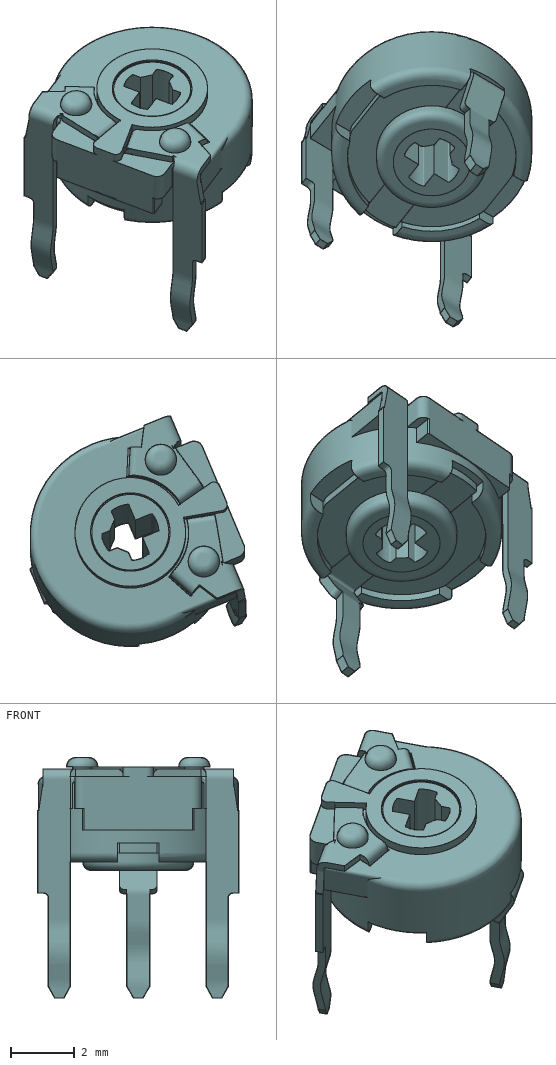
import cadquery as cq
import math


FEET_Z = 4.295
BOSS_Z = 4.035
STRIP_Z = 4.58
NOTCH_Z = 4.9
LABEL_Z = 5.31
BLOCK_Z = 6.0
DECK_Z = 7.0
COLLAR_Z = 7.3
TOP_Z = 7.6

BODY_R = 3.16
DECK_EDGE = 0.25
FEET_EDGE = 0.29
CORE_R = 2.66
CORE_HALF_X = 2.55
BOSS_R = 1.75
BOSS_EDGE = 0.25
FRONT_NOTCH_W = 1.3
SIDE_NOTCH_W = 1.9
BLOCK_W = 6.02
BLOCK_FRONT_Y = -2.39
BLOCK_EDGE = 0.1
NOSE_W = 4.0
NOSE_FRONT_Y = -3.18
NOSE_CORNER = 0.29
NOSE_ROOT = 0.09
LABEL_W = 3.51
LABEL_CHAMFER = 0.04
RIB_BACK_HALF_W = 0.205
RIB_FRONT_HALF_W = 0.53
RIB_BACK_Y = -1.71
RIB_CORNER = 0.2
RIVET_X = 1.77
RIVET_Y = -1.78
RIVET_R = 0.495
RIVET_SHANK_R = 0.305
RIVET_FLAT_R = 0.205

ROTOR_R = 1.215
RECESS_R = 1.255
RECESS_DEPTH = 0.06
CROSS_R = 0.905
CROSS_HALF_W = 0.3
CROSS_EDGE = 0.04
ARROW_LEG = 0.28

JOG_R = 1.475
JOG_CREST_Z = 1.41
TIP_H = 0.37
TIP_HALF_W = 0.145

SHEET = 0.24
LEG_Y = BLOCK_FRONT_Y - SHEET / 2
LEG_OUTER_X = 2.84
LEG_INNER_X = 2.14
WIDE_OUTER_X = 3.18
WIDE_FOOT_Z = 3.31
WIDE_TOP_Z = 5.93
WIDE_ROOT_R = 0.145
TAPER_TOP_X = 3.14
TAPER_TOP_Z = 6.79
BRIDGE_INNER_X = 1.975
BRIDGE_ROOT_R = 0.175
END_JOG_REACH = 0.2
END_JOG_TOP_Z = 2.295
END_JOG_FOOT_Z = 0.45
TAB_R = 1.84
TAB_ARC_START = 199.0
TAB_ARC_END = 263.0
TAB_SHOULDER_Y = -1.72
TAB_NECK = (-2.395, -1.37)
TAB_SIDE_CORNER = (-2.58, -0.995)
TAB_RIB_CORNER = (-0.43, -2.7)
TAB_FRONT_CORNER = (-0.68, -2.65)
TAB_BRIDGE_Y = -2.35
LIP_R = 0.23
LIP_DEPTH = 0.15
LIP_GAPS = (0.06, 0.03)

WIPER_T = NOTCH_Z - STRIP_Z
WIPER_W = 1.185
WIPER_PIN_W = 0.73
WIPER_PIN_Y = 2.49
WIPER_KNEE_Y = 3.16
WIPER_KNEE_R = 0.235
WIPER_ANKLE_Z = 3.32
WIPER_ANKLE_R = 0.21
WIPER_SHOULDER_R = 0.145
WIPER_JOG_REACH = 0.18
WIPER_JOG_TOP_Z = 2.265
WIPER_JOG_FOOT_Z = 0.46
EYE_R = 1.52
WIPER_FRONT_R = 2.925


def box(x0, x1, y0, y1, z0, z1):
    """Box between two opposite corners."""
    size = (x1 - x0, y1 - y0, z1 - z0)
    return cq.Workplane("XY").box(*size, centered=False).translate((x0, y0, z0))


def disc(radius, z0, z1, x=0, y=0):
    """Upright cylinder between two heights."""
    return cq.Workplane("XY", origin=(x, y, z0)).circle(radius).extrude(z1 - z0)


def bent_strip(path, bend_radii, thickness, x0, x1):
    """Sheet strip from x0 to x1 whose centre line follows a (y, z) path with rounded corners."""

    def direction(a, b):
        length = math.dist(a, b)
        return ((b[0] - a[0]) / length, (b[1] - a[1]) / length)

    def shifted(point, along, distance):
        return (point[0] + along[0] * distance, point[1] + along[1] * distance)

    def side(offset):
        """Start, bends as (entry, middle, exit) and end of the face at this offset."""
        first = direction(path[0], path[1])
        last = direction(path[-2], path[-1])
        start = shifted(path[0], (-first[1], first[0]), offset)
        end = shifted(path[-1], (-last[1], last[0]), offset)
        bends = []
        for before, corner, after, radius in zip(path, path[1:], path[2:], bend_radii):
            d_in = direction(before, corner)
            d_out = direction(corner, after)
            cross = d_in[0] * d_out[1] - d_in[1] * d_out[0]
            dot = d_in[0] * d_out[0] + d_in[1] * d_out[1]
            turn = math.atan2(cross, dot)
            setback = radius * math.tan(abs(turn) / 2)
            sign = math.copysign(1, turn)
            tangent = shifted(corner, d_in, -setback)
            centre = shifted(tangent, (-d_in[1], d_in[0]), sign * radius)
            reach = radius - sign * offset
            entry_angle = math.atan2(-sign * d_in[0], sign * d_in[1])
            angles = (entry_angle, entry_angle + turn / 2, entry_angle + turn)
            bends.append([shifted(centre, (math.cos(a), math.sin(a)), reach) for a in angles])
        return start, bends, end

    near_start, near_bends, near_end = side(thickness / 2)
    far_start, far_bends, far_end = side(-thickness / 2)
    outline = cq.Workplane("YZ", origin=(x0, 0, 0)).moveTo(*near_start)
    for entry, middle, leave in near_bends:
        outline = outline.lineTo(*entry).threePointArc(middle, leave)
    outline = outline.lineTo(*near_end).lineTo(*far_end)
    for entry, middle, leave in reversed(far_bends):
        outline = outline.lineTo(*leave).threePointArc(middle, entry)
    return outline.lineTo(*far_start).close().extrude(x1 - x0)



def on_tab_arc(degrees):
    """Point on the arc of the left tab around the collar."""
    angle = math.radians(degrees)
    return (TAB_R * math.cos(angle), TAB_R * math.sin(angle))


SIDE_END = (on_tab_arc(TAB_ARC_START), TAB_SIDE_CORNER)
RIB_END = (TAB_RIB_CORNER, on_tab_arc(TAB_ARC_END))
TAB_ENDS = (SIDE_END, RIB_END)


def tab_slab(z0, z1):
    """Outline of the left tab between two heights."""
    bend_y = BLOCK_FRONT_Y + BLOCK_EDGE
    return (
        cq.Workplane("XY", origin=(0, 0, z0))
        .moveTo(-BLOCK_W / 2, bend_y)
        .lineTo(-BLOCK_W / 2, TAB_SHOULDER_Y)
        .lineTo(*TAB_NECK)
        .lineTo(*SIDE_END[1])
        .lineTo(*SIDE_END[0])
        .threePointArc(on_tab_arc((TAB_ARC_START + TAB_ARC_END) / 2), RIB_END[1])
        .lineTo(*RIB_END[0])
        .lineTo(*TAB_FRONT_CORNER)
        .lineTo(-BRIDGE_INNER_X, TAB_BRIDGE_Y)
        .lineTo(-BRIDGE_INNER_X, bend_y)
        .close()
        .extrude(z1 - z0)
    )


def inward(end, distance):
    """The line of a tab end, moved into the tab."""
    (x0, y0), (x1, y1) = end
    length = math.dist(*end)
    shift_x = -(y1 - y0) / length * distance
    shift_y = (x1 - x0) / length * distance
    return [(x0 + shift_x, y0 + shift_y), (x1 + shift_x, y1 + shift_y)]


def end_band(end, near, far, z0, z1):
    """Part of the tab outline that lies between two distances from one of its ends."""
    corners = inward(end, near) + inward(end, far)[::-1]
    band = cq.Workplane("XY", origin=(0, 0, z0)).polyline(corners).close().extrude(z1 - z0)
    return band.intersect(tab_slab(z0, z1))



def wiper_plate():
    """Strip under the housing with a rounded front end, widened to an eye around the rotor."""
    strip = box(-WIPER_W / 2, WIPER_W / 2, -WIPER_FRONT_R, CORE_R, STRIP_Z, NOTCH_Z)
    strip = strip.intersect(disc(WIPER_FRONT_R, STRIP_Z, NOTCH_Z))
    return strip.union(disc(EYE_R, STRIP_Z, NOTCH_Z))



def rib():
    """Raised rib from the collar to the front face, widening to rounded front corners."""
    return (
        cq.Workplane("XY", origin=(0, 0, DECK_Z))
        .polyline([
            (RIB_BACK_HALF_W, RIB_BACK_Y),
            (RIB_FRONT_HALF_W, NOSE_FRONT_Y),
            (-RIB_FRONT_HALF_W, NOSE_FRONT_Y),
            (-RIB_BACK_HALF_W, RIB_BACK_Y),
        ])
        .close()
        .extrude(COLLAR_Z - DECK_Z)
        .edges("|Z and <Y")
        .fillet(RIB_CORNER)
    )


def rivet(x):
    """Rivet that holds an end terminal: shank with a domed head."""
    dome = RIVET_R - RIVET_FLAT_R
    head = disc(RIVET_R, COLLAR_Z, TOP_Z, x, RIVET_Y).faces(">Z").edges().fillet(dome)
    return disc(RIVET_SHANK_R, DECK_Z, COLLAR_Z, x, RIVET_Y).union(head)


def terminal_block():
    """Block with the nose and label plate at the front of the housing."""
    half_block = BLOCK_W / 2
    half_nose = NOSE_W / 2
    half_label = LABEL_W / 2
    block = box(-half_block, half_block, BLOCK_FRONT_Y, 0, BLOCK_Z, DECK_Z)
    block = block.faces(">Z").edges("|Y or <Y").fillet(BLOCK_EDGE)
    nose = box(-half_nose, half_nose, NOSE_FRONT_Y, -BOSS_R, BLOCK_Z, DECK_Z)
    nose = nose.edges("|Z and <Y").fillet(NOSE_CORNER)
    label = box(-half_label, half_label, NOSE_FRONT_Y, -BOSS_R, LABEL_Z, BLOCK_Z)
    label = label.edges("|Z and <Y").chamfer(LABEL_CHAMFER)
    front = block.union(nose)
    middle_z = (BLOCK_Z + DECK_Z) / 2
    for x in (-half_nose, half_nose):
        root = cq.selectors.NearestToPointSelector((x, BLOCK_FRONT_Y, middle_z))
        front = front.edges("|Z").edges(root).fillet(NOSE_ROOT)
    return front.union(label)


def feet_notches():
    """Four notches between the feet, cut in to the core."""
    reach = 2 * BODY_R
    across_x = box(-reach, reach, -SIDE_NOTCH_W / 2, SIDE_NOTCH_W / 2, FEET_Z, NOTCH_Z)
    across_y = box(-FRONT_NOTCH_W / 2, FRONT_NOTCH_W / 2, -reach, reach, FEET_Z, NOTCH_Z)
    core = disc(CORE_R, FEET_Z, NOTCH_Z)
    core = core.intersect(box(-CORE_HALF_X, CORE_HALF_X, -reach, reach, FEET_Z, NOTCH_Z))
    return across_x.union(across_y).cut(core)


def lip_slots():
    """Slots in the deck for the lips of both end terminals."""
    slots = cq.Workplane("XY")
    for end, gap in zip(TAB_ENDS, LIP_GAPS):
        slot = end_band(end, 0, gap + SHEET, DECK_Z - LIP_DEPTH, DECK_Z)
        slots = slots.add(slot).add(slot.mirror("YZ"))
    return slots.combine()


def make_housing():
    body = disc(BODY_R, FEET_Z, DECK_Z)
    body = body.faces(">Z").edges().fillet(DECK_EDGE)
    body = body.faces("<Z").edges().fillet(FEET_EDGE)
    groove = disc(CORE_R, FEET_Z, STRIP_Z)
    boss = disc(BOSS_R, BOSS_Z, STRIP_Z).faces("<Z").edges().fillet(BOSS_EDGE)
    collar = disc(BOSS_R, DECK_Z, COLLAR_Z)
    body = body.union(terminal_block()).cut(groove).cut(feet_notches())
    body = body.union(boss).union(collar).union(rib())
    body = body.cut(lip_slots())
    for x in (-RIVET_X, RIVET_X):
        body = body.union(rivet(x))
    bore = disc(ROTOR_R, BOSS_Z, COLLAR_Z)
    recess = disc(RECESS_R, COLLAR_Z - RECESS_DEPTH, COLLAR_Z)
    return body.cut(wiper_plate()).cut(bore).cut(recess)



def arrow_cross(z0, z1):
    """Cross-shaped screwdriver slot whose +Y arm is an arrow."""
    arm_x = box(-CROSS_R, CROSS_R, -CROSS_HALF_W, CROSS_HALF_W, z0, z1)
    arm_y = box(-CROSS_HALF_W, CROSS_HALF_W, -CROSS_R, CROSS_R, z0, z1)
    round_end = disc(CROSS_R, z0, z1)
    arm_x = arm_x.intersect(round_end).edges("|Z").fillet(CROSS_EDGE)
    arm_y = arm_y.intersect(round_end).edges("|Z").fillet(CROSS_EDGE)
    arrow_half_w = CROSS_HALF_W + ARROW_LEG
    arrow = (
        cq.Workplane("XY", origin=(0, 0, z0))
        .polyline([
            (-arrow_half_w, CROSS_HALF_W),
            (arrow_half_w, CROSS_HALF_W),
            (CROSS_HALF_W, arrow_half_w),
            (-CROSS_HALF_W, arrow_half_w),
        ])
        .close()
        .extrude(z1 - z0)
    )
    return arm_x.union(arm_y).union(arrow)


def make_rotor():
    rotor_top = COLLAR_Z - RECESS_DEPTH
    return disc(ROTOR_R, BOSS_Z, rotor_top).cut(arrow_cross(BOSS_Z, rotor_top))



def terminal_leg():
    """Bent leg of the left terminal, trimmed to its front outline."""
    strip_z = DECK_Z + SHEET / 2
    path = [
        (BLOCK_FRONT_Y + SHEET, strip_z),
        (LEG_Y, strip_z),
        (LEG_Y, END_JOG_TOP_Z),
        (LEG_Y - END_JOG_REACH, JOG_CREST_Z),
        (LEG_Y, END_JOG_FOOT_Z),
        (LEG_Y, 0),
    ]
    bends = [BLOCK_EDGE + SHEET / 2, JOG_R, JOG_R, JOG_R]
    strip = bent_strip(path, bends, SHEET, -WIDE_OUTER_X, -BRIDGE_INNER_X)
    top = DECK_Z + SHEET
    middle_x = (LEG_OUTER_X + LEG_INNER_X) / 2
    diagonal = math.sqrt(0.5)
    root_x = LEG_OUTER_X + WIDE_ROOT_R
    root_z = WIDE_FOOT_Z - WIDE_ROOT_R
    outline = (
        cq.Workplane("XZ")
        .moveTo(-BLOCK_W / 2, top)
        .lineTo(-BLOCK_W / 2, TAPER_TOP_Z)
        .lineTo(-TAPER_TOP_X, WIDE_TOP_Z)
        .lineTo(-WIDE_OUTER_X, WIDE_TOP_Z)
        .lineTo(-WIDE_OUTER_X, WIDE_FOOT_Z)
        .lineTo(-root_x, WIDE_FOOT_Z)
        .threePointArc(
            (-root_x + WIDE_ROOT_R * diagonal, root_z + WIDE_ROOT_R * diagonal),
            (-LEG_OUTER_X, root_z),
        )
        .lineTo(-LEG_OUTER_X, TIP_H)
        .lineTo(-middle_x - TIP_HALF_W, 0)
        .lineTo(-middle_x + TIP_HALF_W, 0)
        .lineTo(-LEG_INNER_X, TIP_H)
        .lineTo(-LEG_INNER_X, top - BRIDGE_ROOT_R)
        .threePointArc(
            (-BRIDGE_INNER_X - BRIDGE_ROOT_R * diagonal, top - BRIDGE_ROOT_R * (1 - diagonal)),
            (-BRIDGE_INNER_X, top),
        )
        .close()
        .extrude(-2 * LEG_Y)
    )
    return strip.intersect(outline)


def terminal_tab():
    """Flat tab of the left terminal, with both ends bent down into the deck as lips."""
    top = DECK_Z + SHEET
    slot_z = DECK_Z - LIP_DEPTH
    tab = tab_slab(DECK_Z, top)
    for end, gap in zip(TAB_ENDS, LIP_GAPS):
        tab = tab.cut(end_band(end, 0, gap, DECK_Z, top))
        (x0, y0), (x1, y1) = inward(end, gap)
        lip_edge = cq.selectors.NearestToPointSelector(((x0 + x1) / 2, (y0 + y1) / 2, top))
        tab = tab.edges(lip_edge).fillet(LIP_R)
        tab = tab.union(end_band(end, gap, gap + SHEET, slot_z, DECK_Z))
    return tab.cut(disc(RIVET_SHANK_R, DECK_Z, top, -RIVET_X, RIVET_Y))


def make_end_terminals():
    left = terminal_leg().union(terminal_tab())
    return [left, left.mirror("YZ")]



def wiper_tail():
    """Strip behind the eye, bent down behind the core and narrowed to a jogged pin."""
    half_w = WIPER_W / 2
    half_pin = WIPER_PIN_W / 2
    strip_z = STRIP_Z + WIPER_T / 2
    reach = BODY_R + WIPER_T
    path = [
        (EYE_R, strip_z),
        (WIPER_KNEE_Y, strip_z),
        (WIPER_PIN_Y, WIPER_ANKLE_Z),
        (WIPER_PIN_Y, WIPER_JOG_TOP_Z),
        (WIPER_PIN_Y + WIPER_JOG_REACH, JOG_CREST_Z),
        (WIPER_PIN_Y, WIPER_JOG_FOOT_Z),
        (WIPER_PIN_Y, 0),
    ]
    bends = [WIPER_KNEE_R, WIPER_ANKLE_R, JOG_R, JOG_R, JOG_R]
    strip = bent_strip(path, bends, WIPER_T, -half_w, half_w)

    slope = math.atan2(WIPER_KNEE_Y - WIPER_PIN_Y, strip_z - WIPER_ANKLE_Z)
    shoulder_z = WIPER_ANKLE_Z + WIPER_ANKLE_R * math.tan(slope / 2)
    shoulders = box(-half_w, half_w, 0, 2 * reach, shoulder_z, TOP_Z)
    shoulders = shoulders.edges("|Y and <Z").fillet(WIPER_SHOULDER_R)
    ankle = (0, WIPER_PIN_Y, WIPER_ANKLE_Z)
    shoulders = shoulders.rotate(ankle, (1, WIPER_PIN_Y, WIPER_ANKLE_Z), -math.degrees(slope))

    pin = (
        cq.Workplane("XZ")
        .polyline([
            (-half_pin, NOTCH_Z),
            (-half_pin, TIP_H),
            (-TIP_HALF_W, 0),
            (TIP_HALF_W, 0),
            (half_pin, TIP_H),
            (half_pin, NOTCH_Z),
        ])
        .close()
        .extrude(-reach)
    )
    return strip.intersect(shoulders.union(pin))


def make_wiper():
    return wiper_plate().union(wiper_tail()).cut(disc(ROTOR_R, STRIP_Z, NOTCH_Z))


housing = make_housing()
rotor = make_rotor()
end_terminals = make_end_terminals()
wiper = make_wiper()

result = cq.Compound.makeCompound([
    housing.val(),
    rotor.val(),
    *[terminal.val() for terminal in end_terminals],
    wiper.val(),
])